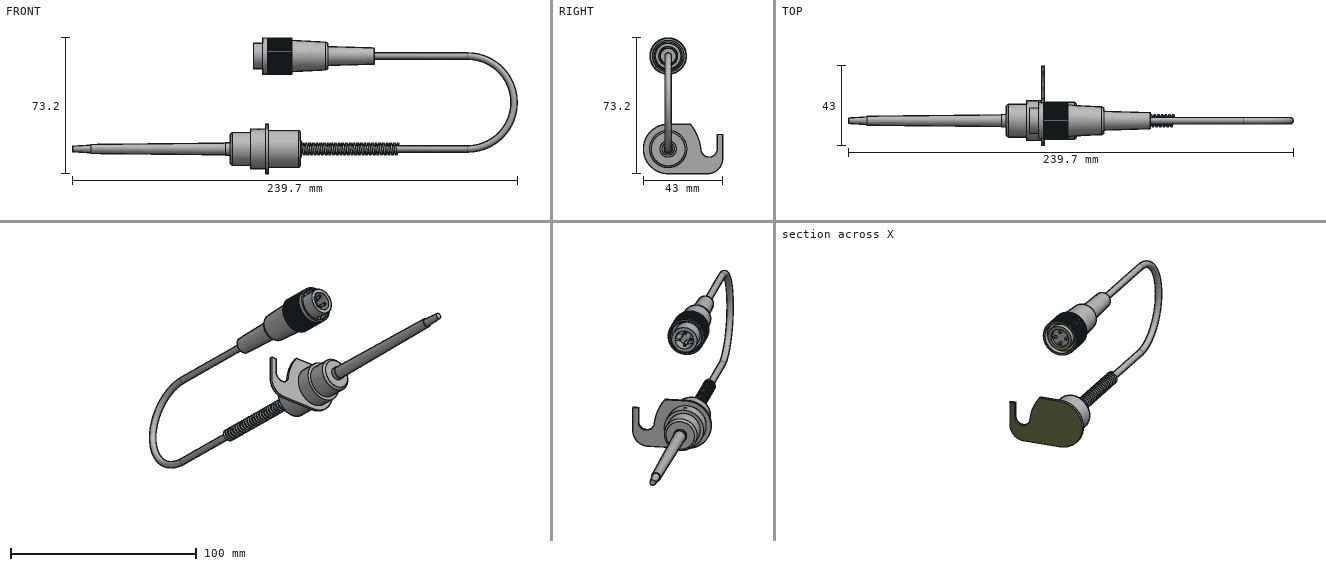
import cadquery as cq
import math

total_length = 239.7

cable_dia = 3.5
plug_axis_z = 50.0
bend_radius = plug_axis_z / 2
bend_start_x = total_length - cable_dia / 2 - bend_radius

tip_dia = 3.0
tip_root_dia = 4.3
tip_length = 9.8
sleeve_start_dia = 5.0
sleeve_end_dia = 6.5

collar_start_x = 82.5
collar_dia = 7.0
housing_start_x = 84.8
nose_dia = 18.0
nose_chamfer = 1.2
ring_start_x = 95.9
ring_dia = 21.5
plate_start_x = 104.0
plate_thickness = 1.5
plate_end_x = plate_start_x + plate_thickness
set_hole_dia = 1.49
set_hole_depth = 1.5
set_hole_x = 100.5

cap_dia = 20.1
cap_end_x = 122.7
cap_chamfer = 1.0
boss_dia = 8.9
boss_length = 0.5
cap_total_end_x = cap_end_x + boss_length

plate_dia = 26.8
plate_radius = plate_dia / 2
hook_span_y = 43.0
hook_reach_y = hook_span_y - plate_radius
hook_width = 3.0
hook_top_z = 8.0
hook_corner_radius = 8.5
slot_radius = 4.3
slot_outer_y = hook_reach_y - hook_width
slot_center_y = slot_outer_y - slot_radius
slot_inner_y = slot_center_y - slot_radius
shoulder_mid = (15.0, 8.6)
shoulder_top_y = 12.0

wire_dia = 1.0
spring_turns = 26
coil_dia = 6.7
coil_radius = (coil_dia - wire_dia) / 2
spring_pitch = 2.0

plug_start_x = 97.3
plug_nose_dia = 14.0
bore_dia = 10.0
bore_depth = 8.5
body_start_x = 118.2
body_start_dia = 17.0
body_end_dia = 15.0
body_end_x = 136.4
body_chamfer = 0.7
body_chamfer_length = 1.2
boot_start_x = body_end_x + body_chamfer_length
boot_start_dia = 10.3
boot_end_dia = 8.9
boot_end_x = 162.7
boot_chamfer = 0.2
contact_dia = 1.5
contact_tip_chamfer = 0.2
contact_angles = (90, 180, 270)
contact_circle_radius = 3.4
contact_setback = 1.0
key_width = 1.0
key_tip_y = 2.2

coupling_start_x = 102.3
coupling_dia = 19.7
coupling_recess_dia = 17.0
coupling_recess_depth = 4.8
coupling_mouth_chamfer = 0.5
flute_start_x = 105.0
flute_dia = 0.6
flute_count = 80


def x_cylinder(start_x, end_x, dia, axis_z=0.0):
    """Cylinder along +X between two X positions."""
    return cq.Workplane("YZ", origin=(start_x, 0, axis_z)).circle(dia / 2).extrude(end_x - start_x)


def x_turned(profile, axis_z=0.0):
    """Solid of revolution about an X-parallel axis; profile lists (x, radius) from end to end."""
    outline = [(profile[0][0], 0), *profile, (profile[-1][0], 0)]
    return (
        cq.Workplane("XZ", origin=(0, 0, axis_z))
        .polyline(outline)
        .close()
        .revolve(360, (0, 0, 0), (1, 0, 0))
    )


def make_probe():
    """Tapered tip stepping up to a long, slightly tapered sleeve."""
    return x_turned(
        [
            (0, tip_dia / 2),
            (tip_length, tip_root_dia / 2),
            (tip_length, sleeve_start_dia / 2),
            (collar_start_x, sleeve_end_dia / 2),
        ]
    )


def make_housing():
    """Stepped front housing with a small collar, a chamfered nose and a blind set-screw hole."""
    housing = x_turned(
        [
            (collar_start_x, collar_dia / 2),
            (housing_start_x, collar_dia / 2),
            (housing_start_x, nose_dia / 2 - nose_chamfer),
            (housing_start_x + nose_chamfer, nose_dia / 2),
            (ring_start_x, nose_dia / 2),
            (ring_start_x, ring_dia / 2),
            (plate_start_x, ring_dia / 2),
        ]
    )
    set_hole = (
        cq.Workplane("XY", origin=(set_hole_x, 0, ring_dia / 2 - set_hole_depth))
        .circle(set_hole_dia / 2)
        .extrude(2 * set_hole_depth)
    )
    return housing.cut(set_hole)


def make_hook_plate():
    """Flat plate, round on the housing axis, with an upturned hook toward +Y."""
    return (
        cq.Workplane("YZ", origin=(plate_start_x, 0, 0))
        .moveTo(0, -plate_radius)
        .threePointArc((-plate_radius, 0), (0, plate_radius))
        .lineTo(shoulder_top_y, plate_radius)
        .threePointArc(shoulder_mid, (slot_inner_y, 0))
        .threePointArc((slot_center_y, -slot_radius), (slot_outer_y, 0))
        .lineTo(slot_outer_y, hook_top_z)
        .lineTo(hook_reach_y, hook_top_z)
        .lineTo(hook_reach_y, hook_corner_radius - plate_radius)
        .radiusArc((hook_reach_y - hook_corner_radius, -plate_radius), hook_corner_radius)
        .close()
        .extrude(plate_thickness)
    )


def make_rear_cap():
    """Plain cap behind the plate, chamfered at its far end, with a small boss for the cable."""
    return x_turned(
        [
            (plate_end_x, cap_dia / 2),
            (cap_end_x - cap_chamfer, cap_dia / 2),
            (cap_end_x, cap_dia / 2 - cap_chamfer),
            (cap_end_x, boss_dia / 2),
            (cap_total_end_x, boss_dia / 2),
        ]
    )


def make_spring():
    """Right-handed round-wire coil around the cable, starting against the cap's boss."""
    start_x = cap_total_end_x + wire_dia / 2
    path = cq.Wire.makeHelix(
        spring_pitch,
        spring_pitch * spring_turns,
        coil_radius,
        center=cq.Vector(start_x, 0, 0),
        dir=cq.Vector(1, 0, 0),
    )
    wire_plane = cq.Plane(origin=path.startPoint(), normal=path.tangentAt(0))
    return cq.Workplane(wire_plane).circle(wire_dia / 2).sweep(cq.Workplane(path), isFrenet=True)


def make_cable():
    """Round cable from the rear cap, round a half-circle bend and back to the plug."""
    path = (
        cq.Workplane("XZ")
        .moveTo(cap_total_end_x, 0)
        .lineTo(bend_start_x, 0)
        .threePointArc((bend_start_x + bend_radius, bend_radius), (bend_start_x, plug_axis_z))
        .lineTo(boot_end_x, plug_axis_z)
    )
    return cq.Workplane("YZ", origin=(cap_total_end_x, 0, 0)).circle(cable_dia / 2).sweep(path)


def make_plug():
    """Plug with an open nose holding a key and contact pins, a tapered body and a cable boot."""
    plug = x_turned(
        [
            (plug_start_x, plug_nose_dia / 2),
            (body_start_x, plug_nose_dia / 2),
            (body_start_x, body_start_dia / 2),
            (body_end_x, body_end_dia / 2),
            (boot_start_x, body_end_dia / 2 - body_chamfer),
            (boot_start_x, boot_start_dia / 2),
            (boot_end_x - boot_chamfer, boot_end_dia / 2),
            (boot_end_x, boot_end_dia / 2 - boot_chamfer),
        ],
        plug_axis_z,
    )
    floor_x = plug_start_x + bore_depth
    plug = plug.cut(x_cylinder(plug_start_x, floor_x, bore_dia, plug_axis_z))

    wall_y = (bore_dia + plug_nose_dia) / 4
    key = (
        cq.Workplane("YZ", origin=(plug_start_x, 0, plug_axis_z))
        .moveTo(wall_y, key_width / 2)
        .lineTo(key_tip_y + key_width / 2, key_width / 2)
        .threePointArc((key_tip_y, 0), (key_tip_y + key_width / 2, -key_width / 2))
        .lineTo(wall_y, -key_width / 2)
        .close()
        .extrude(bore_depth)
    )
    plug = plug.union(key)

    for angle in contact_angles:
        contact_y = contact_circle_radius * math.cos(math.radians(angle))
        contact_z = contact_circle_radius * math.sin(math.radians(angle))
        contact = (
            cq.Workplane("YZ", origin=(plug_start_x + contact_setback, contact_y, plug_axis_z + contact_z))
            .circle(contact_dia / 2)
            .extrude(bore_depth - contact_setback)
            .faces("<X")
            .chamfer(contact_tip_chamfer)
        )
        plug = plug.union(contact)
    return plug


def make_coupling_ring():
    """Fluted ring round the plug's nose, with a chamfered recess at its front."""
    ring = x_cylinder(coupling_start_x, body_start_x, coupling_dia, plug_axis_z)
    ring = ring.cut(x_cylinder(coupling_start_x, body_start_x, plug_nose_dia, plug_axis_z))

    mouth_radius = coupling_recess_dia / 2 + coupling_mouth_chamfer
    recess = x_turned(
        [
            (coupling_start_x, mouth_radius),
            (coupling_start_x + coupling_mouth_chamfer, coupling_recess_dia / 2),
            (coupling_start_x + coupling_recess_depth, coupling_recess_dia / 2),
        ],
        plug_axis_z,
    )
    flutes = (
        cq.Workplane("YZ", origin=(flute_start_x, 0, plug_axis_z))
        .polarArray(coupling_dia / 2, 0, 360, flute_count)
        .circle(flute_dia / 2)
        .extrude(body_start_x - flute_start_x)
    )
    return ring.cut(recess).cut(flutes)


probe = make_probe()
housing = make_housing()
hook_plate = make_hook_plate()
rear_cap = make_rear_cap()
spring = make_spring()
cable = make_cable()
plug = make_plug()
coupling_ring = make_coupling_ring()

result = cq.Compound.makeCompound(
    [
        probe.val(),
        housing.val(),
        hook_plate.val(),
        rear_cap.val(),
        spring.val(),
        cable.val(),
        plug.val(),
        coupling_ring.val(),
    ]
)